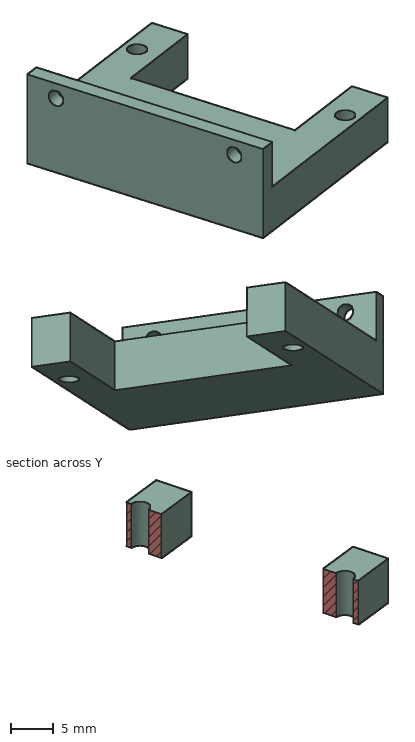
import cadquery as cq

width = 32.82
depth = 27.08
height = 12.0

base_height = 6.0
wall_thickness = 2.0
arm_width = 5.0
arm_length = 12.37

arm_hole_diameter = 2.4
arm_hole_side_offset = 1.95
arm_hole_end_offset = 6.25

wall_hole_diameter = 2.0
wall_hole_side_offset = 4.0
wall_hole_top_offset = 2.0


def box(size_x, size_y, size_z):
    """Block centred on X, starting at Y = 0 and Z = 0."""
    return cq.Workplane("XY").box(size_x, size_y, size_z, centered=(True, False, False))


base = box(width, depth, base_height)
wall = box(width, wall_thickness, height)
body = base.union(wall)

slot = box(width - 2 * arm_width, arm_length, base_height).translate((0, depth - arm_length, 0))
body = body.cut(slot)

for side in (-1, 1):
    arm_hole = (
        cq.Workplane("XY")
        .center(side * (width / 2 - arm_hole_side_offset), depth - arm_hole_end_offset)
        .circle(arm_hole_diameter / 2)
        .extrude(base_height)
    )
    wall_hole = (
        cq.Workplane("XZ")
        .center(side * (width / 2 - wall_hole_side_offset), height - wall_hole_top_offset)
        .circle(wall_hole_diameter / 2)
        .extrude(-wall_thickness)
    )
    body = body.cut(arm_hole).cut(wall_hole)

result = body